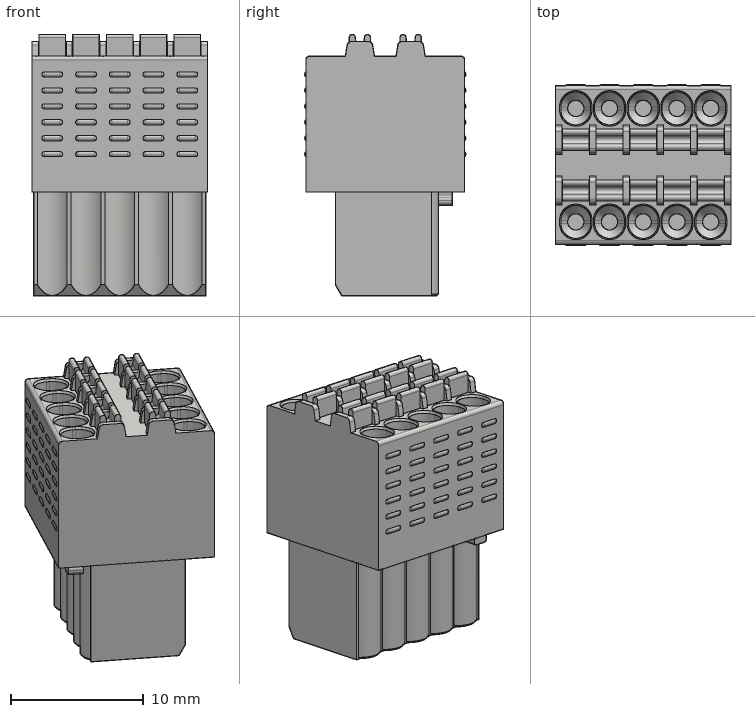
import cadquery as cq
import math

POLES = 5
PITCH = 2.55
POLE_X = [PITCH * (i - (POLES - 1) / 2) for i in range(POLES)]

BODY_X = 13.26
BODY_Y = 11.98
BODY_BOTTOM = 7.82
BODY_TOP = 18.07
BODY_FILLET = 0.3
HALF_BODY_X = BODY_X / 2
HALF_BODY_Y = BODY_Y / 2

PLUG_X = 12.97
PLUG_FRONT = -3.76
PLUG_BACK = 3.47
PLUG_BEVEL_DEPTH = 0.5
PLUG_BEVEL_HEIGHT = 0.85
FLUTE_WIDTH = 2.25
FLUTE_DEPTH = 0.47
LOBE_WIDTH = 2.4
LOBE_DEPTH = 0.55
LOBE_CHAMFER = 0.15

ROW_Y = 1.91
RIDGE_THICKNESS = 0.47
RIDGE_HEIGHT = 1.1
RIDGE_BASE_HALF = 1.1
RIDGE_TOP_HALF = 0.93
RIDGE_FILLET = 0.34
LEVER_LENGTH = 2.01
LEVER_HALF = 0.8
LEVER_TOP = 19.71
LEVER_TIP_RADIUS = 0.24
LEVER_VALLEY_Z = 18.88
LEVER_VALLEY_RADIUS = 0.28

ENTRY_Y = 4.28
ENTRY_WIDTH = 2.45
ENTRY_STRETCH = 0.24
ENTRY_CHAMFER = 0.1
ENTRY_CHAMFER_HEIGHT = 0.2
ENTRY_WALL_DEPTH = 0.79
FUNNEL_DEPTH = 1.18
BORE_RADIUS = 0.61
BORE_DEPTH = 0.2

BUMP_ROWS = 6
BUMP_TOP_Z = 16.7
BUMP_ROW_PITCH = 1.2
BUMP_RADIUS = 0.28
BUMP_HEIGHT = 0.08
BUMP_STRAIGHT = 1.18

KEY_END_Y = 5.07
KEY_NECK_HALF = 0.45
KEY_FLARE_START = 0.22
KEY_FLARE_RADIUS = 0.3
KEY_FLARE_ANGLE = math.radians(45)
KEY_HEIGHT = 1.0
KEY_FILLET = 0.2


def block(x0, x1, y0, y1, z0, z1):
    return cq.Workplane("XY").box(x1 - x0, y1 - y0, z1 - z0, centered=False).translate((x0, y0, z0))


def arc_radius(width, depth):
    """Radius of the arc with the given chord and rise."""
    return (width**2 / 4 + depth**2) / (2 * depth)


def upright_cylinder(x, y, radius, z0, z1):
    return cq.Workplane("XY", origin=(x, y, z0)).circle(radius).extrude(z1 - z0)


def along_x(profile_yz, x0, length):
    """Extrude a closed YZ sketch along +X, starting at x0."""
    return profile_yz.extrude(length).translate((x0, 0, 0))


def make_body():
    body = block(-HALF_BODY_X, HALF_BODY_X, -HALF_BODY_Y, HALF_BODY_Y, BODY_BOTTOM, BODY_TOP)
    return body.faces(">Z").edges("|X").fillet(BODY_FILLET)


def make_plug():
    profile = (
        cq.Workplane("YZ")
        .moveTo(PLUG_BACK, BODY_BOTTOM)
        .lineTo(PLUG_FRONT, BODY_BOTTOM)
        .lineTo(PLUG_FRONT, PLUG_BEVEL_HEIGHT)
        .lineTo(PLUG_FRONT + PLUG_BEVEL_DEPTH, 0)
        .lineTo(PLUG_BACK, 0)
        .close()
    )
    plug = along_x(profile, -PLUG_X / 2, PLUG_X)

    flute_radius = arc_radius(FLUTE_WIDTH, FLUTE_DEPTH)
    flute_y = PLUG_FRONT + FLUTE_DEPTH - flute_radius
    lobe_radius = arc_radius(LOBE_WIDTH, LOBE_DEPTH)
    lobe_y = PLUG_BACK + LOBE_DEPTH - lobe_radius
    for x in POLE_X:
        lobe = upright_cylinder(x, lobe_y, lobe_radius, 0, BODY_BOTTOM)
        lobe = lobe.faces("<Z").chamfer(LOBE_CHAMFER)
        lobe_limits = block(x - PITCH / 2, x + PITCH / 2, 0, HALF_BODY_Y, 0, BODY_BOTTOM)
        plug = plug.union(lobe.intersect(lobe_limits))
        plug = plug.cut(upright_cylinder(x, flute_y, flute_radius, 0, BODY_BOTTOM))
    return plug


def make_ridge(x0, x1, y):
    profile = (
        cq.Workplane("YZ")
        .moveTo(y - RIDGE_BASE_HALF, BODY_TOP)
        .lineTo(y - RIDGE_TOP_HALF, BODY_TOP + RIDGE_HEIGHT)
        .lineTo(y + RIDGE_TOP_HALF, BODY_TOP + RIDGE_HEIGHT)
        .lineTo(y + RIDGE_BASE_HALF, BODY_TOP)
        .close()
    )
    return along_x(profile, x0, x1 - x0).faces(">Z").edges("|X").fillet(RIDGE_FILLET)


def make_ridge_row(y):
    """Ridges between neighbouring poles, and one at each end flush with the housing side."""
    row = cq.Workplane("XY")
    for i in range(POLES + 1):
        x = PITCH * (i - POLES / 2)
        x0 = x - RIDGE_THICKNESS / 2 if i > 0 else -HALF_BODY_X
        x1 = x + RIDGE_THICKNESS / 2 if i < POLES else HALF_BODY_X
        row = row.union(make_ridge(x0, x1, y))
    return row


def make_lever(x, y):
    """Two round-topped tips with a tapered, round-bottomed valley between them."""
    shoulder = LEVER_TOP - LEVER_TIP_RADIUS
    valley_half = LEVER_HALF - 2 * LEVER_TIP_RADIUS
    tip_offset = LEVER_HALF - LEVER_TIP_RADIUS
    profile = (
        cq.Workplane("YZ")
        .moveTo(y - LEVER_HALF, BODY_TOP)
        .lineTo(y - LEVER_HALF, shoulder)
        .threePointArc((y - tip_offset, LEVER_TOP), (y - valley_half, shoulder))
        .lineTo(y - LEVER_VALLEY_RADIUS, LEVER_VALLEY_Z)
        .threePointArc(
            (y, LEVER_VALLEY_Z - LEVER_VALLEY_RADIUS),
            (y + LEVER_VALLEY_RADIUS, LEVER_VALLEY_Z),
        )
        .lineTo(y + valley_half, shoulder)
        .threePointArc((y + tip_offset, LEVER_TOP), (y + LEVER_HALF, shoulder))
        .lineTo(y + LEVER_HALF, BODY_TOP)
        .close()
    )
    return along_x(profile, x - LEVER_LENGTH / 2, LEVER_LENGTH)


def entry_stage(x, y, top, depth, top_radius, bottom_radius):
    """Obround stage whose arc radius changes from top to bottom."""
    plane = cq.Workplane("XY", origin=(x, y, top))
    stage = plane.slot2D(2 * top_radius + ENTRY_STRETCH, 2 * top_radius, 90)
    if top_radius == bottom_radius:
        return stage.extrude(-depth)
    lower = stage.workplane(offset=-depth)
    return lower.slot2D(2 * bottom_radius + ENTRY_STRETCH, 2 * bottom_radius, 90).loft(ruled=True)


def make_wire_entry(x, y):
    mouth_radius = ENTRY_WIDTH / 2
    wall_radius = mouth_radius - ENTRY_CHAMFER
    throat_radius = BORE_RADIUS - ENTRY_STRETCH / 2
    wall_top = BODY_TOP - ENTRY_CHAMFER_HEIGHT
    funnel_top = wall_top - ENTRY_WALL_DEPTH
    funnel_bottom = funnel_top - FUNNEL_DEPTH
    mouth = entry_stage(x, y, BODY_TOP, ENTRY_CHAMFER_HEIGHT, mouth_radius, wall_radius)
    wall = entry_stage(x, y, wall_top, ENTRY_WALL_DEPTH, wall_radius, wall_radius)
    funnel = entry_stage(x, y, funnel_top, FUNNEL_DEPTH, wall_radius, throat_radius)
    bore = upright_cylinder(x, y, BORE_RADIUS, funnel_bottom - BORE_DEPTH, funnel_top)
    return mouth.union(wall).union(funnel).union(bore)


def make_bump(x, y, z):
    """Capsule along X, mostly buried in the housing wall."""
    half = BUMP_STRAIGHT / 2
    tip = half + BUMP_RADIUS
    shoulder = BUMP_RADIUS * math.sqrt(0.5)
    profile = (
        cq.Workplane("XY")
        .moveTo(-tip, 0)
        .threePointArc((-half - shoulder, shoulder), (-half, BUMP_RADIUS))
        .lineTo(half, BUMP_RADIUS)
        .threePointArc((half + shoulder, shoulder), (tip, 0))
        .close()
    )
    return profile.revolve(360, (0, 0, 0), (1, 0, 0)).translate((x, y, z))


def make_key():
    """Coding key: a neck that flares in an S-curve into a wider foot with rounded corners."""
    rise = KEY_FLARE_RADIUS * math.sin(KEY_FLARE_ANGLE)
    spread = KEY_FLARE_RADIUS * (1 - math.cos(KEY_FLARE_ANGLE))
    mid_rise = KEY_FLARE_RADIUS * math.sin(KEY_FLARE_ANGLE / 2)
    mid_spread = KEY_FLARE_RADIUS * (1 - math.cos(KEY_FLARE_ANGLE / 2))
    flare_z = BODY_BOTTOM - KEY_FLARE_START
    foot_half = KEY_NECK_HALF + 2 * spread
    foot_top = flare_z - 2 * rise
    key_bottom = BODY_BOTTOM - KEY_HEIGHT
    half_key = (
        cq.Workplane("XZ")
        .moveTo(0, BODY_BOTTOM)
        .lineTo(KEY_NECK_HALF, BODY_BOTTOM)
        .lineTo(KEY_NECK_HALF, flare_z)
        .threePointArc(
            (KEY_NECK_HALF + mid_spread, flare_z - mid_rise),
            (KEY_NECK_HALF + spread, flare_z - rise),
        )
        .threePointArc((foot_half - mid_spread, foot_top + mid_rise), (foot_half, foot_top))
        .lineTo(foot_half, key_bottom + KEY_FILLET)
        .radiusArc((foot_half - KEY_FILLET, key_bottom), KEY_FILLET)
        .lineTo(0, key_bottom)
        .close()
        .extrude(-(KEY_END_Y - PLUG_BACK))
        .translate((0, PLUG_BACK, 0))
    )
    return half_key.union(half_key.mirror("YZ")).translate((POLE_X[0], 0, 0))


result = make_body().union(make_plug()).union(make_key())

for side in (-1, 1):
    result = result.union(make_ridge_row(side * ROW_Y))
    bump_axis_y = side * (HALF_BODY_Y + BUMP_HEIGHT - BUMP_RADIUS)
    for x in POLE_X:
        result = result.union(make_lever(x, side * ROW_Y))
        result = result.cut(make_wire_entry(x, side * ENTRY_Y))
        for row in range(BUMP_ROWS):
            result = result.union(make_bump(x, bump_axis_y, BUMP_TOP_Z - row * BUMP_ROW_PITCH))